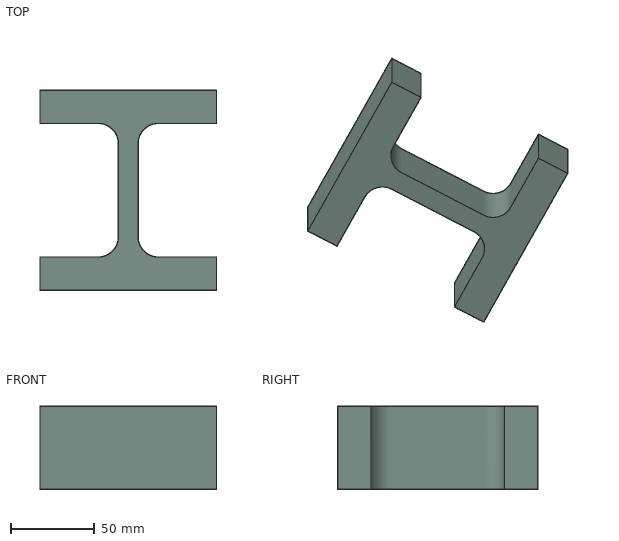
import cadquery as cq

flange_width = 106.0
section_depth = 120.0
web_thickness = 12.0
flange_thickness = 20.0
root_radius = 12.0
beam_length = 50.0

web_height = section_depth - 2 * flange_thickness


def make_flange(side):
    """Flange at the +Y (side = 1) or -Y (side = -1) end of the web."""
    center_y = side * (section_depth - flange_thickness) / 2
    return (
        cq.Workplane("XY")
        .center(0, center_y)
        .rect(flange_width, flange_thickness)
        .extrude(beam_length)
    )


def make_beam():
    """Web joined to both flanges, with the four root corners rounded."""
    beam = cq.Workplane("XY").rect(web_thickness, web_height).extrude(beam_length)
    for side in (-1, 1):
        beam = beam.union(make_flange(side))

    root_corners = cq.selectors.BoxSelector(
        (-web_thickness, -section_depth / 2 + flange_thickness / 2, 0),
        (web_thickness, section_depth / 2 - flange_thickness / 2, beam_length),
    )
    return beam.edges("|Z").edges(root_corners).fillet(root_radius)


result = make_beam()